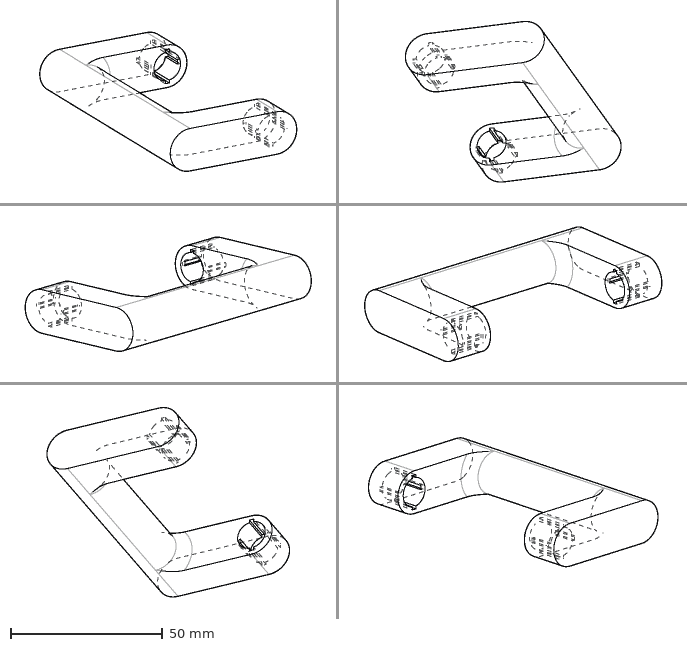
import cadquery as cq

length = 88.0
depth = 48.0
thickness = 15.0
leg_width = 14.0
bar_radius = thickness / 2
end_offset = (depth - thickness) / 2
inner_face_x = length / 2 - leg_width

blend_radius = 4.0

socket_diameter = 10.0
socket_depth = 10.0
key_width = 1.5
key_span = 12.0
locking_groove_start = 2.0


def make_blank():
    """Solid of full length whose section is the rounded outline of a leg."""
    return cq.Workplane("YZ", origin=(-length / 2, 0, 0)).slot2D(depth, thickness).extrude(length)


def make_flared_bar():
    """Round bar between the legs, flaring to meet each inner face."""
    blend_start_x = inner_face_x - blend_radius
    flare_radius = bar_radius + blend_radius
    arc_middle = blend_radius * 0.5 ** 0.5
    arc_middle_x = blend_start_x + arc_middle
    arc_middle_radius = flare_radius - arc_middle
    return (
        cq.Workplane("XY", origin=(0, -end_offset, 0))
        .moveTo(-inner_face_x, 0)
        .lineTo(-inner_face_x, flare_radius)
        .threePointArc((-arc_middle_x, arc_middle_radius), (-blend_start_x, bar_radius))
        .lineTo(blend_start_x, bar_radius)
        .threePointArc((arc_middle_x, arc_middle_radius), (inner_face_x, flare_radius))
        .lineTo(inner_face_x, 0)
        .close()
        .revolve(360, (0, 0, 0), (1, 0, 0))
    )


def make_gap():
    """Space between the legs behind the bar, leaving the flared bar standing."""
    gap_block = (
        cq.Workplane("XY", origin=(0, -end_offset, 0))
        .box(2 * inner_face_x, depth, thickness, centered=(True, False, True))
    )
    return gap_block.cut(make_flared_bar())


def make_socket():
    """Round blind socket in the +X leg, with open keys along Z and hidden grooves along Y."""
    plane = cq.Workplane("YZ", origin=(inner_face_x, end_offset, 0))
    bore = plane.circle(socket_diameter / 2).extrude(socket_depth)
    keys = plane.rect(key_width, key_span).extrude(socket_depth)
    locking_grooves = (
        plane.workplane(offset=locking_groove_start)
        .rect(key_span, key_width)
        .extrude(socket_depth - locking_groove_start)
    )
    groove_floor = plane.circle(key_span / 2).extrude(socket_depth)
    grooves = keys.union(locking_grooves).intersect(groove_floor)
    return bore.union(grooves)


socket = make_socket()
result = make_blank().cut(make_gap()).cut(socket).cut(socket.mirror("YZ"))